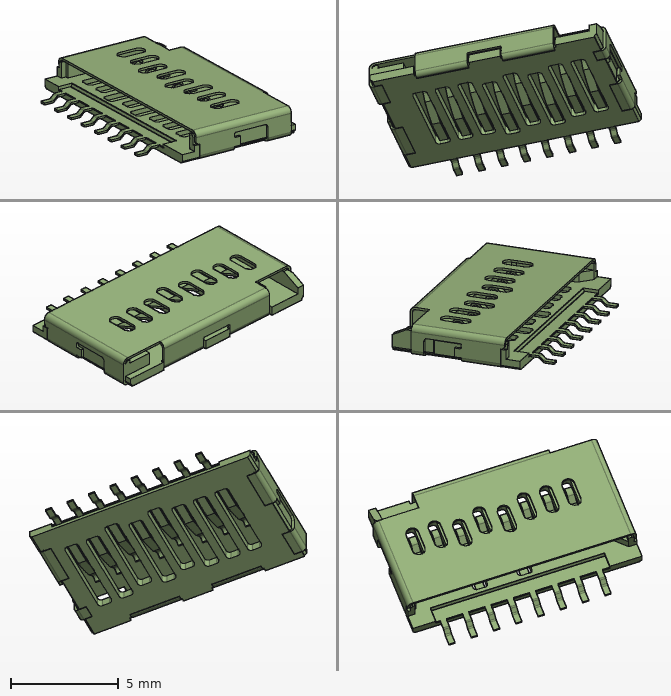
import cadquery as cq


width = 11.3
half_width = width / 2
height = 1.45
base_back = 6.45
sheet = 0.11
side_sheet = 0.14
side_face = half_width - side_sheet
overlap = 0.01

base_bottom = 0.03
floor_top = 0.49
wall_top = 1.28
left_wall_inner = 5.15
right_wall_inner = 5.23
shoulder_depth = 0.96
post_front = 0.69
left_post_inner = 5.31
edge_chamfer = 0.11
ledge_height = 0.07
wall_chamfer = 0.11
slope_start = 5.5
slope_end_height = 0.81

cover_front = 0.77
cover_left_back = 5.45
cover_right_back = 6.12
cover_back = 6.41
back_left = -3.39
back_right = 3.33
bend_radius = 0.28
curl_radius = 0.21
foot_inner = 5.03
back_foot_front = 6.1
ear_bottom = 0.94
right_ear_bottom = 0.78
notch_left = -0.86
notch_right = 0.8
notch_top = 0.68
notch_corner = 0.07

contact_count = 8
row_length = 7.7
pitch = row_length / (contact_count - 1)
row_center = -0.29
stagger = 0.3
staggered = (2, 4)
window_length = 1.47
window_width = 0.6
window_y = 3.82
floor_slot_width = 0.7
floor_slot_front = 1.24
floor_slot_back = 5.08
floor_slot_corner = 0.17
metal = 0.1
lead_width = 0.3
spring_width = 0.42
spring_tip_width = 0.35
lead_tip = -1.15

strip_left = -4.52
strip_right = 4.07
strip_front = 0.05
strip_bottom = 0.23
strip_back = 0.69
recess_floor = 0.29
recess_back = 0.76
recess_slope_top = 0.45


def box(x0, x1, y0, y1, z0, z1):
    """Box between two opposite corners."""
    return cq.Workplane("XY").box(x1 - x0, y1 - y0, z1 - z0, centered=False).translate((x0, y0, z0))


def contact_places():
    """Centre x and y shift of every contact."""
    first = row_center - row_length / 2
    return [(first + i * pitch, -stagger if i in staggered else 0.0) for i in range(contact_count)]


def extrude_x(points, x0, x1):
    """Closed (y, z) outline extruded from x0 to x1."""
    return cq.Workplane("YZ").polyline(points).close().extrude(x1 - x0).translate((x0, 0, 0))


def make_base():
    """Floor, side walls, front posts and card-detect blocks."""
    base = box(-half_width, half_width, 0, shoulder_depth, base_bottom, floor_top)
    base = base.edges("|Y and <Z").chamfer(edge_chamfer)
    rear_bottom = base_bottom + ledge_height
    rear = box(-side_face, side_face, shoulder_depth - overlap, base_back, rear_bottom, floor_top)
    base = base.union(rear.edges("|Y and <Z").chamfer(edge_chamfer))
    ledge_side = side_face - edge_chamfer
    base = base.union(box(-ledge_side, ledge_side, shoulder_depth - overlap, base_back,
                          base_bottom, rear_bottom + overlap))

    wall_front = shoulder_depth - overlap
    outline = [(wall_front, floor_top - overlap), (base_back, floor_top - overlap),
               (base_back, slope_end_height), (slope_start, wall_top), (wall_front, wall_top)]
    left_wall = extrude_x(outline, -side_face, -left_wall_inner)
    base = base.union(left_wall.faces(">Z").edges("<X").chamfer(wall_chamfer))
    right_wall = box(right_wall_inner, side_face, wall_front, cover_right_back,
                     floor_top - overlap, wall_top)
    base = base.union(right_wall.edges("|Y and >X and >Z").chamfer(wall_chamfer))

    base = base.union(make_post(left_post_inner, ear_bottom).mirror("YZ"))
    base = base.union(make_post(right_wall_inner, right_ear_bottom))

    gap_left, gap_right, tongue_left, tongue_right = -3.5, 3.39, -0.81, 0.71
    flange_inner = cover_back - sheet
    for x0, x1 in ((gap_left, tongue_left), (tongue_right, gap_right)):
        base = base.cut(box(x0, x1, flange_inner, base_back, 0, floor_top))

    pocket_front, pocket_back, pocket_bottom, pocket_top, pocket_depth = 2.94, 4.37, 0.11, 0.85, 0.14
    base = base.cut(box(-side_face, -side_face + pocket_depth, pocket_front, pocket_back,
                        pocket_bottom, pocket_top))

    recess = [(0, recess_floor), (strip_back, recess_floor), (recess_back, recess_slope_top),
              (recess_back, floor_top), (0, floor_top)]
    base = base.cut(extrude_x(recess, strip_left, strip_right))

    for x, shift in contact_places():
        slot = box(x - floor_slot_width / 2, x + floor_slot_width / 2,
                   floor_slot_front + shift, floor_slot_back + shift, 0, floor_top)
        base = base.cut(slot.edges("|Z").fillet(floor_slot_corner))
    return base.union(make_detect_blocks())


def make_post(inner, outer_top):
    """Right front post: full width up to outer_top, narrower beside the cover ear."""
    low = box(inner, half_width, post_front, shoulder_depth, floor_top - overlap, outer_top)
    high = box(inner, side_face, post_front, shoulder_depth, floor_top - overlap, wall_top)
    return low.union(high.edges("|Y and >X and >Z").chamfer(wall_chamfer))


def make_detect_blocks():
    """Two blocks with 45 degree faces beside the right wall, the front one with an arched spring."""
    bottom = floor_top - overlap
    embedded = right_wall_inner + overlap
    block_left = 4.63

    front_top, front_back, chamfer_left, left_start = 0.96, 2.49, 4.7, 1.45
    corner = (chamfer_left, post_front + right_wall_inner - chamfer_left)
    outline = [(embedded, post_front), (right_wall_inner, post_front), corner,
               (block_left, left_start), (block_left, front_back), (embedded, front_back)]
    front = cq.Workplane("XY", origin=(0, 0, bottom)).polyline(outline).close()
    blocks = front.extrude(front_top - bottom)

    rear_top, rear_left, rear_front = 1.1, 3.99, 4.57
    outline = [(embedded, rear_front), (block_left, rear_front),
               (rear_left, rear_front + block_left - rear_left),
               (rear_left, cover_right_back), (embedded, cover_right_back)]
    rear = cq.Workplane("XY", origin=(0, 0, bottom)).polyline(outline).close()
    blocks = blocks.union(rear.extrude(rear_top - bottom))

    arch_x, arch_radius, arch_thickness, arch_front, arch_back = 5.01, 0.21, 0.09, 1.24, 1.81
    arch = (cq.Workplane("XZ", origin=(arch_x, arch_back, front_top))
            .circle(arch_radius).circle(arch_radius - arch_thickness)
            .extrude(arch_back - arch_front))
    return blocks.union(arch)


def side_flange(y0, y1):
    """Left flange: bent down from the top, curled under the base."""
    lower = -half_width + curl_radius
    path = (cq.Workplane("XZ", origin=(0, y1, 0))
            .moveTo(-half_width + bend_radius, height)
            .radiusArc((-half_width, height - bend_radius), -bend_radius)
            .lineTo(-half_width, curl_radius)
            .radiusArc((lower, 0), -curl_radius)
            .lineTo(-foot_inner, 0)
            .lineTo(-foot_inner, sheet)
            .lineTo(lower, sheet)
            .radiusArc((-side_face, curl_radius), curl_radius - sheet)
            .lineTo(-side_face, height - bend_radius)
            .radiusArc((-half_width + bend_radius, height - sheet), bend_radius - sheet)
            .close())
    return path.extrude(y1 - y0)


def back_flange():
    """Rear flange, bent down and curled under the base, split by a central notch."""
    flat_end = cover_back - bend_radius
    inner = cover_back - sheet
    lower = cover_back - curl_radius
    path = (cq.Workplane("YZ", origin=(back_left, 0, 0))
            .moveTo(flat_end, height)
            .radiusArc((cover_back, height - bend_radius), bend_radius)
            .lineTo(cover_back, curl_radius)
            .radiusArc((lower, 0), curl_radius)
            .lineTo(back_foot_front, 0)
            .lineTo(back_foot_front, sheet)
            .lineTo(lower, sheet)
            .radiusArc((inner, curl_radius), -(curl_radius - sheet))
            .lineTo(inner, height - bend_radius)
            .radiusArc((flat_end, height - sheet), -(bend_radius - sheet))
            .close())
    flange = path.extrude(back_right - back_left)
    notch = box(notch_left, notch_right, back_foot_front, cover_back, 0, notch_top)
    return flange.cut(notch.edges("|Y and >Z").fillet(notch_corner))


def ear_relief(bottom):
    """Space cut from the left flange in front, leaving a bevelled ear above the post."""
    bevel = 0.14
    post_gap = 0.02
    relief_back = shoulder_depth + post_gap
    outline = [(cover_front, 0), (relief_back, 0), (relief_back, bottom),
               (cover_front + bevel, bottom), (cover_front, bottom + bevel)]
    return extrude_x(outline, -half_width, -foot_inner)


def side_window():
    """Window in the left flange, with a hooked upper front end and open at the bottom."""
    front, back, top, bottom = 3.28, 4.81, 0.93, 0.0
    hook_front, hook_bottom = 2.94, 0.67
    corner = 0.18
    hook_corner = 0.08
    x0 = -half_width
    body = box(x0, -side_face, front, back, bottom, top).edges("|X and >Y and >Z").fillet(corner)
    hook = box(x0, -side_face, hook_front, front + corner, hook_bottom, top)
    hook = hook.edges("|X and <Y").fillet(hook_corner)
    foot_gap = box(x0, -foot_inner, hook_front, back, 0, curl_radius)
    return body.union(hook).union(foot_gap)


def make_cover():
    """Sheet cover with side and rear flanges and eight windows."""
    flat_left = -half_width + bend_radius
    flat_right = half_width - bend_radius
    under = height - sheet
    cover = box(flat_left, flat_right, cover_front, cover_left_back, under, height)
    cover = cover.union(box(back_left, flat_right, cover_front, cover_right_back, under, height))
    cover = cover.union(box(back_left, back_right, cover_front, cover_back - bend_radius, under, height))

    side_opening = side_window()
    left = side_flange(cover_front, cover_left_back).cut(side_opening).cut(ear_relief(ear_bottom))
    right = side_flange(cover_front, cover_right_back).cut(side_opening).cut(ear_relief(right_ear_bottom))
    cover = cover.union(left).union(right.mirror("YZ")).union(back_flange())

    for x, shift in contact_places():
        window = (cq.Workplane("XY", origin=(x, window_y + shift, under))
                  .slot2D(window_length, window_width, 90).extrude(sheet))
        cover = cover.cut(window)
    return cover


def make_spring(x, shift):
    """Spring arm rising from a flat root in the floor slot to a rounded contact tip."""
    root_embedded = 0.11
    root_front = floor_slot_front - root_embedded
    root_back = 2.49
    root_bottom = strip_bottom
    root_top = root_bottom + metal
    knee_y, knee_z = 3.57, 0.76
    rise_y, rise_z = 3.88, 1.04
    peak_y, peak_z = 4.07, 1.1
    tip_y, tip_z = 4.36, 0.93
    profile = (cq.Workplane("YZ", origin=(x - spring_width / 2, shift, 0))
               .moveTo(root_front, root_top)
               .lineTo(root_back, root_top)
               .lineTo(knee_y, knee_z)
               .lineTo(rise_y, rise_z)
               .threePointArc((peak_y, peak_z), (tip_y, tip_z))
               .lineTo(tip_y - metal, tip_z - metal / 2)
               .threePointArc((peak_y, peak_z - metal), (rise_y + metal / 2, rise_z - metal))
               .lineTo(knee_y + metal / 2, knee_z - metal)
               .lineTo(root_back, root_bottom)
               .lineTo(root_front, root_bottom)
               .close())
    spring = profile.extrude(spring_width)
    taper_start = 2.94
    half = spring_width / 2
    half_tip = spring_tip_width / 2
    plan = [(x - half, root_front), (x + half, root_front), (x + half, taper_start),
            (x + half_tip, rise_y), (x + half_tip, tip_y),
            (x - half_tip, tip_y), (x - half_tip, rise_y), (x - half, taper_start)]
    blank = cq.Workplane("XY").polyline(plan).close().extrude(height).translate((0, shift, 0))
    return spring.intersect(blank)


def make_lead(x):
    """Solder lead: level out of the strip, stepped down to the seating plane."""
    step_start, step_end, bend = -0.41, -0.65, 0.11
    root = strip_front + overlap
    top = strip_bottom + metal
    profile = [(root, strip_bottom), (step_start, strip_bottom), (step_end, 0), (lead_tip, 0),
               (lead_tip, metal), (step_end, metal), (step_start, top), (root, top)]
    lead = extrude_x(profile, x - lead_width / 2, x + lead_width / 2)
    bends = cq.selectors.BoxSelector((x - lead_width, step_end - metal, -metal),
                                     (x + lead_width, step_start + metal, height))
    return lead.edges("|X").edges(bends).fillet(bend)


def make_contacts():
    """Carrier strip with all leads and springs."""
    contacts = box(strip_left, strip_right, strip_front, strip_back, strip_bottom, strip_bottom + metal)
    for x, shift in contact_places():
        contacts = contacts.union(make_lead(x))
        contacts = contacts.union(make_spring(x, shift))
    return contacts


result = make_base().union(make_cover()).union(make_contacts())